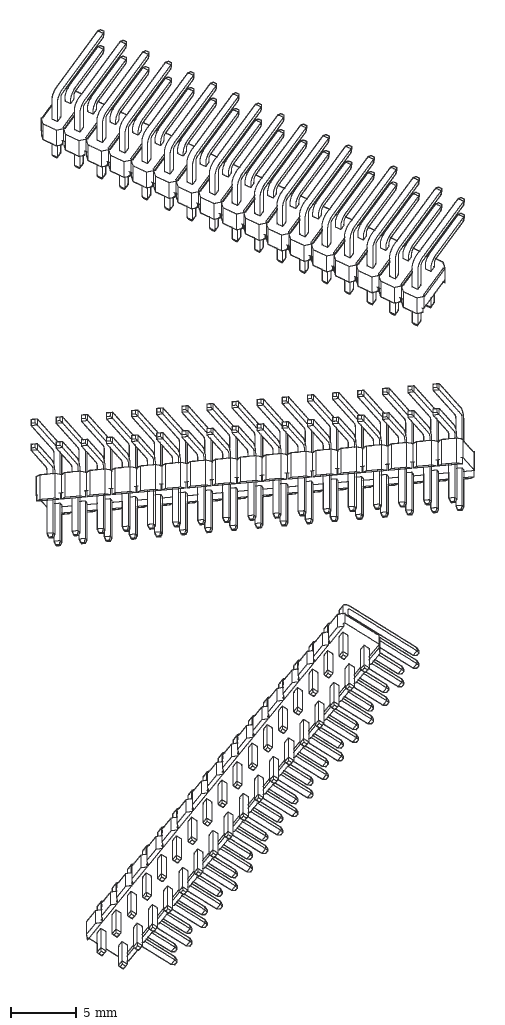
import cadquery as cq
import math

columns = 17
pitch = 2.0

housing_length = columns * pitch
housing_depth = 2 * pitch
housing_height = 2.0
corner_chamfer = 0.4
channel_height = 0.5
foot_depth = 0.35
channel_width = housing_depth - 2 * foot_depth
groove_depth = 0.1

pin_size = 0.5
inner_bend_radius = 0.25
outer_bend_radius = inner_bend_radius + pin_size
tip_length = 0.275
tip_end_size = 0.3
tip_taper = math.degrees(math.atan((pin_size - tip_end_size) / 2 / tip_length))
tail_bottom = -2.8
pin_end_y = 6.0
front_row_y = -pitch / 2
front_row_height = 5.0
back_row_y = pitch / 2
back_row_height = front_row_height - pitch

column_positions = [(i - (columns - 1) / 2) * pitch for i in range(columns)]


def housing_cell(x):
    """Eight-sided block for one column."""
    return (
        cq.Workplane("XY", origin=(x, 0, 0))
        .box(pitch, housing_depth, housing_height, centered=(True, True, False))
        .edges("|Z")
        .chamfer(corner_chamfer)
    )


def groove_cutter():
    """V-shaped groove along Y at X = 0, sunk in the top face and closed by a sloped point at each end."""
    tip_y = housing_depth / 2 - corner_chamfer
    shoulder_y = tip_y - groove_depth
    half_width = groove_depth
    top = housing_height
    front_tip, back_tip = (0, -tip_y, top), (0, tip_y, top)
    front_left, front_right = (-half_width, -shoulder_y, top), (half_width, -shoulder_y, top)
    back_left, back_right = (-half_width, shoulder_y, top), (half_width, shoulder_y, top)
    front_bottom = (0, -shoulder_y, top - groove_depth)
    back_bottom = (0, shoulder_y, top - groove_depth)
    outlines = [
        (front_tip, front_right, back_right, back_tip, back_left, front_left),
        (front_left, back_left, back_bottom, front_bottom),
        (front_right, back_right, back_bottom, front_bottom),
        (front_tip, front_left, front_bottom),
        (front_tip, front_right, front_bottom),
        (back_tip, back_left, back_bottom),
        (back_tip, back_right, back_bottom),
    ]
    faces = []
    for corners in outlines:
        wire = cq.Wire.makePolygon([cq.Vector(*corner) for corner in corners], close=True)
        faces.append(cq.Face.makeFromWires(wire))
    return cq.Workplane("XY").add(cq.Solid.makeSolid(cq.Shell.makeShell(faces)))


def housing():
    """Row of cells with grooves on top and, underneath, a channel along X between two lines of feet."""
    body = housing_cell(column_positions[0])
    for x in column_positions[1:]:
        body = body.union(housing_cell(x))
    channel = cq.Workplane("XY").box(
        housing_length, channel_width, channel_height, centered=(True, True, False)
    )
    body = body.cut(channel)
    groove = groove_cutter()
    for boundary in range(columns + 1):
        body = body.cut(groove.translate((boundary * pitch - housing_length / 2, 0, 0)))
    return body


def pin_tip(plane):
    """Tapered end of a pin, growing along the normal of the given plane."""
    return cq.Workplane(plane).rect(pin_size, pin_size).extrude(tip_length, taper=tip_taper)


def bent_pin(row_y, arm_height):
    """Square pin at X = 0: a vertical leg at row_y, bent into a +Y arm at arm_height."""
    half = pin_size / 2
    front, back = row_y - half, row_y + half
    top, underside = arm_height + half, arm_height - half
    leg_end = tail_bottom + tip_length
    arm_end = pin_end_y - tip_length
    bend_y = front + outer_bend_radius
    bend_z = top - outer_bend_radius
    diagonal = math.sqrt(0.5)
    outer_mid = (bend_y - outer_bend_radius * diagonal, bend_z + outer_bend_radius * diagonal)
    inner_mid = (bend_y - inner_bend_radius * diagonal, bend_z + inner_bend_radius * diagonal)
    shank = (
        cq.Workplane("YZ")
        .moveTo(front, leg_end)
        .lineTo(front, bend_z)
        .threePointArc(outer_mid, (bend_y, top))
        .lineTo(arm_end, top)
        .lineTo(arm_end, underside)
        .lineTo(bend_y, underside)
        .threePointArc(inner_mid, (back, bend_z))
        .lineTo(back, leg_end)
        .close()
        .extrude(half, both=True)
    )
    leg_tip = pin_tip(cq.Plane((0, row_y, leg_end), xDir=(1, 0, 0), normal=(0, 0, -1)))
    arm_tip = pin_tip(cq.Plane((0, arm_end, arm_height), xDir=(1, 0, 0), normal=(0, 1, 0)))
    return shank.union(leg_tip).union(arm_tip)


front_pin = bent_pin(front_row_y, front_row_height)
back_pin = bent_pin(back_row_y, back_row_height)

result = housing()
for x in column_positions:
    result = result.union(front_pin.translate((x, 0, 0)))
    result = result.union(back_pin.translate((x, 0, 0)))